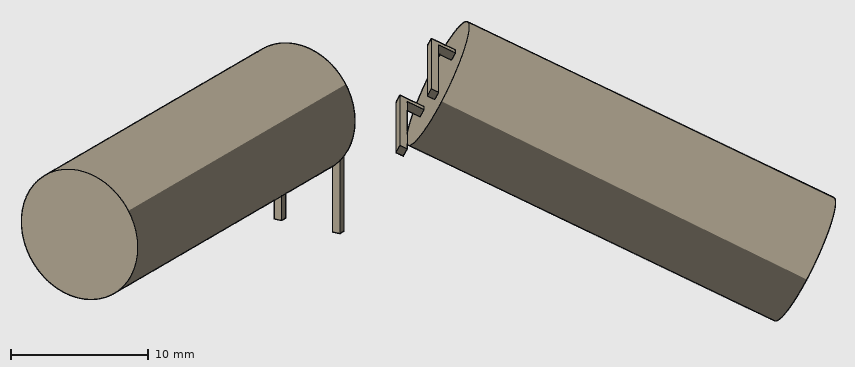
import cadquery as cq

can_diameter = 10.0
overall_length = 32.0
overall_height = 14.7
lead_overhang = 2.0
lead_pitch = 5.0
lead_width = 0.65
lead_thickness = 0.6

can_length = overall_length - lead_overhang
lead_bottom = can_diameter / 2 - overall_height
lead_top = lead_thickness / 2


def make_can():
    """Solid can from Y = 0 to its rear face, axis on Y."""
    return cq.Workplane("XZ").circle(can_diameter / 2).extrude(-can_length)


def make_lead(x_center):
    """Square-cornered lead: straight back from the can axis height, then down."""
    return (
        cq.Workplane("YZ", origin=(x_center - lead_width / 2, 0, 0))
        .moveTo(can_length, lead_top)
        .lineTo(overall_length, lead_top)
        .lineTo(overall_length, lead_bottom)
        .lineTo(overall_length - lead_thickness, lead_bottom)
        .lineTo(overall_length - lead_thickness, -lead_top)
        .lineTo(can_length, -lead_top)
        .close()
        .extrude(lead_width)
    )


result = make_can()
for side in (-1, 1):
    result = result.union(make_lead(side * lead_pitch / 2))